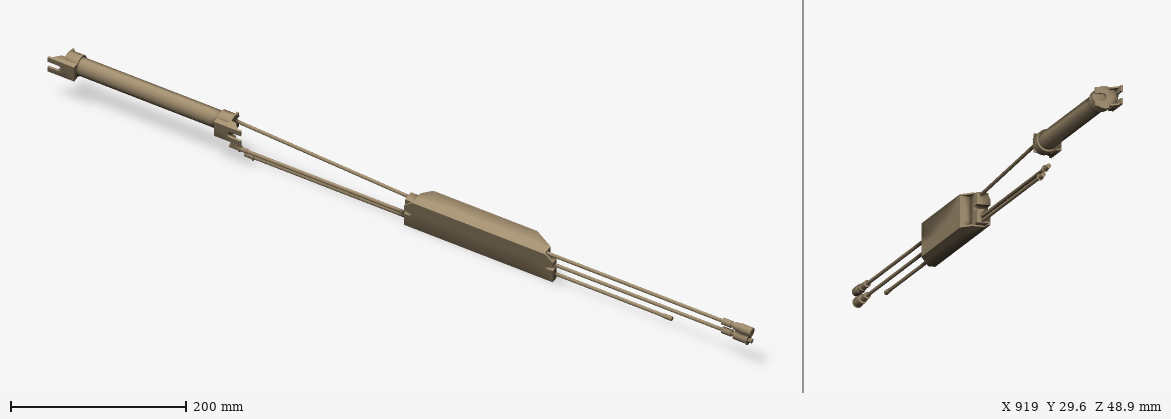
import cadquery as cq

battery_length = 253.0
tube_diameter = 22.0
cap_diameter = 27.0
axis_y = 16.1
axis_z = 35.4
cap_start = 17.5
cap_end = 35.0
wall = 3.0
block_height = 22.0
end_wall_top = 28.0
foot_thickness = 3.0
base_depth = 6.0
gusset_start = 5.0
gusset_rise = 8.0
gusset_thickness = 2.0
screw_slot_width = 8.0
lead_notch_width = 8.0
lead_notch_bottom = 14.0

case_start = 467.0
case_end = 662.0
case_depth = 29.0
case_height = 39.5
sheet = 2.0
front_thickness = 3.0
corner_length = 11.0
corner_drop = 9.0
case_slot_width = 5.5
case_slot_depth = 9.0
case_slot_z = 20.7
roof_start = 489.0
roof_end = 625.0
start_ledge_depth = 17.0
side_start_depth = 18.0
end_ledge_depth = 15.0
end_edge_depth = 8.0

lead_diameter = 4.2
lead_overlap = 5.5
battery_lead_start_y = 24.0
battery_lead_end_y = 10.6
left_lead_y = 9.0
upper_left_lead_z = 10.0
lower_left_lead_z = 5.0
right_lead_y = 6.9
socket_z = 21.6
short_lead_z = 7.8

tip_diameter = 5.5
sleeve_diameter = 5.7
ring_diameter = 8.0
ring_width = 1.0
collar_start = 880.5
collar_end = 892.0
collar_diameter = 8.0
neck_end = 896.0
neck_diameter = 6.1
plug_diameter = 9.0
plug_head_start = 903.5
plug_head_diameter = 11.0
socket_diameter = 11.0
socket_flange_start = 914.0
socket_flange_diameter = 13.0
upper_tip_start = 234.0
upper_sleeve_start = 241.0
upper_ring_start = 247.0
upper_sleeve_end = 256.0
lower_tip_start = 254.0
lower_sleeve_start = 256.0
lower_sleeve_end = 266.0
ferrule_start = 803.0
ferrule_end = 814.0
overall_length = 919.0


def rod(start, end, diameter, y, z):
    """Round bar along X."""
    return cq.Workplane("YZ", origin=(start, y, z)).circle(diameter / 2).extrude(end - start)


def stepped_rod(steps, y, z):
    """Round bars on one axis, each given as start, end and diameter."""
    first, *others = steps
    bar = rod(*first, y, z)
    for step in others:
        bar = bar.union(rod(*step, y, z))
    return bar


def plate(outline, bottom, top):
    """Outline in X and Y, filled between two heights."""
    return cq.Workplane("XY", origin=(0, 0, bottom)).polyline(outline).close().extrude(top - bottom)


def block(start, end, depth, bottom, top):
    """Box that rests on the mounting plane Y = 0."""
    return cq.Workplane("XY", origin=(start, 0, bottom)).box(
        end - start, depth, top - bottom, centered=False
    )


def clip_cap():
    """Cap at the low-X end: a cup on the tube, an end wall and a slotted foot with two gussets."""
    bottom = axis_z - block_height / 2
    top = axis_z + block_height / 2
    gusset_end = gusset_start + gusset_rise
    gusset_top = foot_thickness + gusset_rise
    gusset_outline = [
        (gusset_start, foot_thickness),
        (gusset_end, gusset_top),
        (cap_start + wall, gusset_top),
        (cap_start + wall, foot_thickness),
    ]
    cap = rod(cap_start, cap_end, cap_diameter, axis_y, axis_z)
    cap = cap.union(block(cap_start, cap_start + wall, end_wall_top, bottom, top))
    cap = cap.union(block(cap_start, cap_end, base_depth, bottom, top))
    cap = cap.union(block(0, cap_start, foot_thickness, bottom, top))
    for side in (bottom, top - gusset_thickness):
        cap = cap.union(plate(gusset_outline, side, side + gusset_thickness))

    bore = rod(cap_start + wall, cap_end, tube_diameter, axis_y, axis_z)
    screw_slot = (
        cq.Workplane("XZ", origin=(0, 0, axis_z))
        .slot2D(2 * cap_start, screw_slot_width)
        .extrude(-foot_thickness)
    )
    notch_length = 2 * case_depth
    lead_notch = (
        cq.Workplane("YZ", origin=(cap_start, lead_notch_bottom + notch_length / 2, axis_z))
        .slot2D(notch_length, lead_notch_width)
        .extrude(wall)
    )
    return cap.cut(bore).cut(screw_slot).cut(lead_notch)


def driver_case():
    """Box with a ledge at its low-X end, a low block at the other, slanting side plates and a front plate."""
    plate_start = case_start + corner_length
    plate_end = case_end - corner_length
    box = plate(
        [
            (case_start, 0),
            (plate_end, 0),
            (plate_end, end_ledge_depth),
            (roof_end, end_ledge_depth),
            (roof_end, case_depth),
            (roof_start, case_depth),
            (roof_start, start_ledge_depth),
            (case_start, start_ledge_depth),
        ],
        sheet, case_height - sheet,
    )
    low_end = plate(
        [
            (plate_end, 0),
            (case_end, 0),
            (case_end, end_edge_depth),
            (plate_end, end_ledge_depth),
        ],
        0, case_height - corner_drop,
    )
    side_outline = [
        (plate_start, 0),
        (plate_end, 0),
        (plate_end, end_ledge_depth),
        (roof_end, case_depth),
        (roof_start, case_depth),
        (plate_start, side_start_depth),
    ]
    front = block(case_start, case_end, front_thickness, 0, case_height)
    case = box.union(low_end).union(front)
    for side in (0, case_height - sheet):
        case = case.union(plate(side_outline, side, side + sheet))

    for end, inward in ((case_start, 1), (case_end, -1)):
        corner = (
            cq.Workplane("XZ")
            .polyline([
                (end, case_height),
                (end + inward * corner_length, case_height),
                (end, case_height - corner_drop),
            ])
            .close()
            .extrude(-front_thickness)
        )
        slot = (
            cq.Workplane("XZ", origin=(end, 0, case_slot_z))
            .slot2D(2 * case_slot_depth, case_slot_width)
            .extrude(-case_depth)
        )
        case = case.cut(corner).cut(slot)
    return case


def battery_lead(tube_end):
    """Slanting lead from the end of the tube to the case."""
    start = cq.Vector(tube_end, battery_lead_start_y, axis_z)
    end = cq.Vector(case_start + lead_overlap, battery_lead_end_y, axis_z)
    run = end - start
    return cq.Workplane(cq.Solid.makeCylinder(lead_diameter / 2, run.Length, start, run))


def left_lead(tip_start, sleeve_start, ring_start, sleeve_end, z):
    """Lead that runs from the case back towards the battery, with a ringed sleeve and a tip."""
    return stepped_rod(
        [
            (tip_start, sleeve_start, tip_diameter),
            (sleeve_start, sleeve_end, sleeve_diameter),
            (ring_start, ring_start + ring_width, ring_diameter),
            (sleeve_end, case_start + lead_overlap, lead_diameter),
        ],
        left_lead_y, z,
    )


def left_leads():
    """An upper lead and a shorter lower one, whose ring sits at the end of its sleeve."""
    lower_ring_start = lower_sleeve_end - ring_width
    return [
        left_lead(
            upper_tip_start, upper_sleeve_start, upper_ring_start, upper_sleeve_end, upper_left_lead_z
        ),
        left_lead(
            lower_tip_start, lower_sleeve_start, lower_ring_start, lower_sleeve_end, lower_left_lead_z
        ),
    ]


def right_lead(fitting_start, fitting, z):
    """Lead that runs from the case to a fitting given as stepped bars."""
    lead = (case_end - case_slot_depth - lead_overlap, fitting_start, lead_diameter)
    return stepped_rod([lead, *fitting], right_lead_y, z)


def right_leads():
    """Two long leads with a plug and a socket, and a shorter one with a ferrule."""
    collar = [
        (collar_start, collar_end, collar_diameter),
        (collar_end, neck_end, neck_diameter),
    ]
    plug = [
        (neck_end, plug_head_start, plug_diameter),
        (plug_head_start, overall_length, plug_head_diameter),
    ]
    flange_end = socket_flange_start + ring_width
    socket = [
        (neck_end, socket_flange_start, socket_diameter),
        (socket_flange_start, flange_end, socket_flange_diameter),
        (flange_end, overall_length, tip_diameter),
    ]
    ferrule = [(ferrule_start, ferrule_end, tip_diameter)]
    return [
        right_lead(collar_start, collar + plug, axis_z),
        right_lead(collar_start, collar + socket, socket_z),
        right_lead(ferrule_start, ferrule, short_lead_z),
    ]


def wired_unit():
    """Driver case, its leads and the battery tube joined by the battery lead."""
    tube_start = cap_start + wall
    tube_end = battery_length - tube_start
    leads = [
        battery_lead(tube_end),
        *left_leads(),
        *right_leads(),
    ]
    unit = driver_case()
    for lead in leads:
        unit = unit.union(lead)
    return unit.union(rod(tube_start, tube_end, tube_diameter, axis_y, axis_z))


unit = wired_unit()

caps = []
for facing_right in (False, True):
    cap = clip_cap()
    if facing_right:
        cap = cap.mirror("YZ", (battery_length / 2, 0, 0))
    caps.append(cap.solids().val())

result = cq.Compound.makeCompound([unit.solids().val(), *caps])